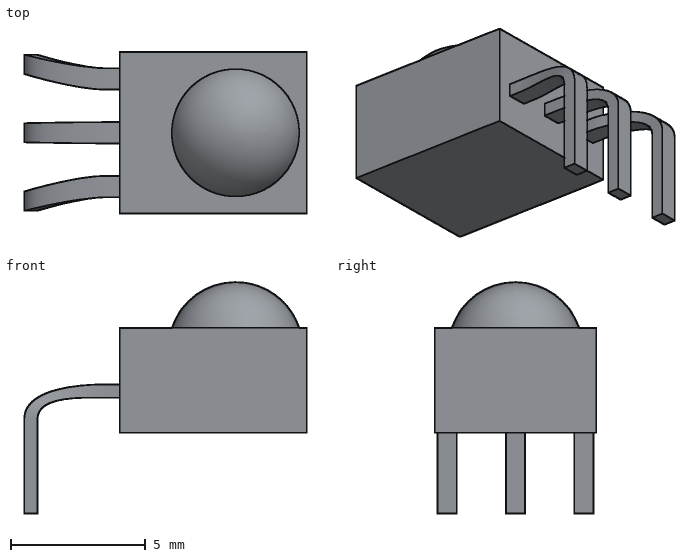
import cadquery as cq

body_length = 6.95
body_width = 6.0
body_height = 3.9

lens_radius = 2.5
lens_rise = 1.7
lens_center_x = 4.3

overall_length = 10.5
overall_height = 8.6
lead_thickness = 0.5
stub_length = 0.55
stub_width = 0.8
stub_bottom_z = 1.3
stub_pitch = 2.0
foot_width = 0.72
foot_length = 3.5
foot_pitch = 2.54
handle_fraction = 1 / 3

lens_center_z = body_height + lens_rise - lens_radius
stub_top_z = stub_bottom_z + lead_thickness
foot_outer_x = body_length - overall_length
foot_inner_x = foot_outer_x + lead_thickness
foot_bottom_z = body_height + lens_rise - overall_height
foot_top_z = foot_bottom_z + foot_length


def make_body():
    return cq.Workplane("XY").box(body_length, body_width, body_height, centered=(False, True, False))


def make_lens():
    """Part of the sphere that stands above the top of the body."""
    sphere = cq.Workplane("XY").sphere(lens_radius).translate((lens_center_x, 0, lens_center_z))
    keep = (
        cq.Workplane("XY")
        .workplane(offset=body_height)
        .center(lens_center_x, 0)
        .rect(2 * lens_radius, 2 * lens_radius)
        .extrude(lens_rise)
    )
    return sphere.intersect(keep)


def bend_edge(foot_point, stub_point):
    """Curve that leaves the foot straight up and enters the stub along X."""
    handle = handle_fraction * (stub_point - foot_point).Length
    foot_control = foot_point + cq.Vector(0, 0, handle)
    stub_control = stub_point - cq.Vector(handle, 0, 0)
    return cq.Edge.makeBezier([foot_point, foot_control, stub_control, stub_point])


def make_bend(foot_y, stub_y):
    """Blend from the horizontal top of the foot to the upright end of the stub."""
    corners = [
        (-1, foot_outer_x, stub_top_z),
        (1, foot_outer_x, stub_top_z),
        (1, foot_inner_x, stub_bottom_z),
        (-1, foot_inner_x, stub_bottom_z),
    ]
    foot_points = [cq.Vector(x, foot_y + side * foot_width / 2, foot_top_z) for side, x, _ in corners]
    stub_points = [cq.Vector(-stub_length, stub_y + side * stub_width / 2, z) for side, _, z in corners]
    edges = [bend_edge(foot, stub) for foot, stub in zip(foot_points, stub_points)]
    faces = [cq.Face.makeRuledSurface(edges[i - 1], edges[i]) for i in range(len(edges))]
    for points in (foot_points, stub_points):
        faces.append(cq.Face.makeFromWires(cq.Wire.makePolygon(points, close=True)))
    return cq.Workplane(cq.Solid.makeSolid(cq.Shell.makeShell(faces)).fix())


def make_lead(row):
    """Lead in the given row (-1, 0 or 1): stub, bend and foot."""
    foot_y = row * foot_pitch
    stub_y = row * stub_pitch
    stub = (
        cq.Workplane("XY")
        .box(stub_length, stub_width, lead_thickness, centered=(False, True, False))
        .translate((-stub_length, stub_y, stub_bottom_z))
    )
    foot = (
        cq.Workplane("XY")
        .box(lead_thickness, foot_width, foot_length, centered=(False, True, False))
        .translate((foot_outer_x, foot_y, foot_bottom_z))
    )
    return stub.union(make_bend(foot_y, stub_y)).union(foot)


part = make_body().union(make_lens())
for lead_row in (-1, 0, 1):
    part = part.union(make_lead(lead_row))

result = part.solids()